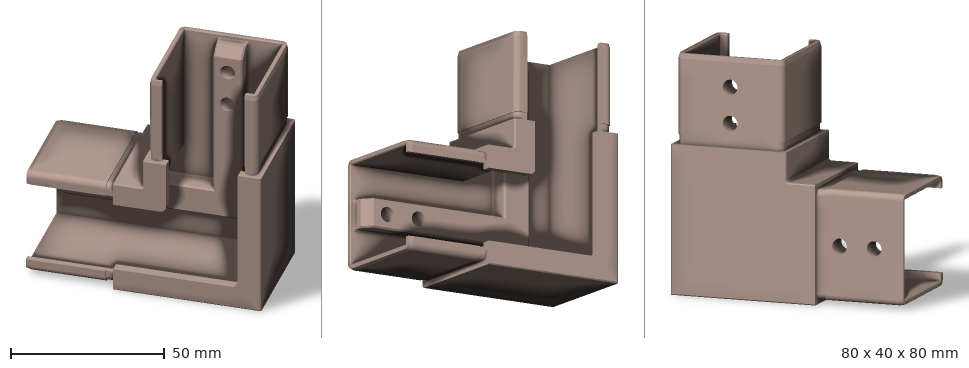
import cadquery as cq
length = 80.0
width = 40.0
sleeve_end = 30.0
wall = 3.4
edge_chamfer = 0.4
inner_corner_round = 1.0
mouth_chamfer = 0.3

plug_width = 37.0
plug_relief = 0.3
plug_round = 2.0
plug_back = 38.4
inner_lip_front = 1.7
outer_lip_front = 1.3
plug_tip_length = 1.7
plug_neck_length = 3.0

sleeve_opening = 24.3
plug_opening = 28.2
opening_round = 2.0

rib_width = 9.8
rib_height = 6.6
rib_start = 1.6
rib_end_chamfer = 3.0
rib_bevel = 0.6
end_bevel = 0.2
foot_depth = 0.8
hole_diameter = 5.0
hole_places = [10.0, 22.0]

center = width / 2
back = width - wall
channel_width = width - 2 * wall


def elbow(start, section, front, rear):
    """L-shaped bar following both arm axes, from Y = front to Y = rear."""
    near = center - section / 2
    far = center + section / 2
    outline = [
        (start, near),
        (length - near, near),
        (length - near, length - start),
        (length - far, length - start),
        (length - far, far),
        (start, far),
    ]
    return cq.Workplane("XZ", origin=(0, front, 0)).polyline(outline).close().extrude(front - rear)


def on_both_arms(shape):
    """Join a shape on the X arm with its mirror image on the Z arm."""
    axis_start = (length - center, 0, center)
    axis_end = (length - center, 1, center)
    turned = shape.rotate(axis_start, axis_end, 90)
    return shape.union(turned.mirror("YZ", axis_start))


def nearest_upright(shape, x, z):
    """The edge along Y that passes closest to the given X and Z."""
    return shape.edges("|Y").edges(cq.selectors.NearestToPointSelector((x, center, z)))


def rounded_rectangle(depth, height, offset=0.0):
    sketch = cq.Sketch().rect(depth, height).vertices().fillet(plug_round)
    return sketch.moved(cq.Location(cq.Vector(0, 0, offset)))


def make_sleeve():
    sleeve = elbow(sleeve_end, width, 0, width)
    sleeve = nearest_upright(sleeve, length - width, width).fillet(inner_corner_round)
    along_arms = sleeve.faces("<Y or >Y").edges().edges("not(<X or >Z)")
    return sleeve.newObject(along_arms.vals()).chamfer(edge_chamfer)


def plug_with_front(front):
    """Solid plug on the X arm: tapered tip, full section and neck, level at the back."""
    depth = plug_back - front
    neck_width = plug_width - 2 * plug_relief
    full = rounded_rectangle(depth, plug_width)
    tip_end = rounded_rectangle(depth - 2 * plug_relief, neck_width)
    plug_end = sleeve_end - plug_neck_length

    def section_at(start):
        return cq.Workplane("YZ", origin=(start, (front + plug_back) / 2, center))

    tip = section_at(0).placeSketch(tip_end, rounded_rectangle(depth, plug_width, plug_tip_length)).loft()
    plug = section_at(plug_tip_length).placeSketch(full).extrude(plug_end - plug_tip_length)
    neck = section_at(plug_end).center(plug_relief / 2, 0)
    neck = neck.placeSketch(rounded_rectangle(depth - plug_relief, neck_width))
    return tip.union(plug).union(neck.extrude(plug_neck_length + wall))


def make_plug():
    """Plug whose outer lip stands slightly further forward than its inner lip."""
    inner_half = cq.Workplane("XY", origin=(0, 0, center)).box(width, width, center, centered=False)
    inner_side = plug_with_front(inner_lip_front).intersect(inner_half)
    outer_side = plug_with_front(outer_lip_front).cut(inner_half)
    return inner_side.union(outer_side)


def make_channel():
    mouth = (
        cq.Workplane("YZ", origin=(0, center, center))
        .rect(channel_width + 2 * mouth_chamfer, channel_width + 2 * mouth_chamfer)
        .workplane(offset=mouth_chamfer)
        .rect(channel_width, channel_width)
        .loft()
    )
    return elbow(0, channel_width, wall, back).union(on_both_arms(mouth))


def make_opening():
    near = center - sleeve_opening / 2
    far = center + sleeve_opening / 2
    sleeve_cut = elbow(0, sleeve_opening, 0, center)
    for offset in (near, far):
        sleeve_cut = nearest_upright(sleeve_cut, length - offset, offset).fillet(opening_round)
    plug_cut = cq.Workplane("XY", origin=(sleeve_end / 2, center / 2, center)).box(sleeve_end, center, plug_opening)
    return sleeve_cut.union(on_both_arms(plug_cut))


def make_rib():
    rib = elbow(rib_start, rib_width, back - rib_height, back)
    rib = rib.faces("<X or >Z").edges("<Y").chamfer(rib_end_chamfer)
    rib = rib.faces("<X or >Z").edges("<Y").chamfer(end_bevel)
    rib = rib.faces("<Y").edges("<X or >Z").chamfer(end_bevel)
    sides = rib.faces("|X or |Z").faces("not(<X or >Z)")
    return sides.edges("not(|Y or >Y)").chamfer(rib_bevel)


def make_foot():
    """Bevelled base where the rib meets the back wall."""
    foot = elbow(rib_start - rib_bevel, rib_width + 2 * rib_bevel, back - rib_bevel, back + foot_depth)
    foot = foot.faces("<X or >Z").edges("|Y").chamfer(rib_bevel)
    return foot.faces("<Y").chamfer(rib_bevel)


def make_holes():
    holes = (
        cq.Workplane("XZ")
        .pushPoints([(place, center) for place in hole_places])
        .circle(hole_diameter / 2)
        .extrude(-width)
    )
    return on_both_arms(holes)


body = make_sleeve().union(on_both_arms(make_plug()))
body = body.cut(make_channel()).cut(make_opening())
result = body.union(make_foot()).union(make_rib()).cut(make_holes())